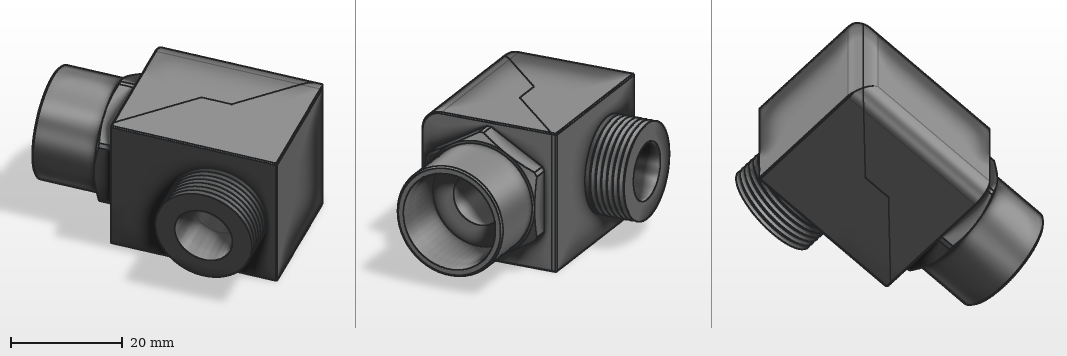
import cadquery as cq
import math


block_width = 26.95
block_left = -20.75
block_right = 11.15
rear_radius = 3.8
edge_chamfer = 0.25

total_length = 48.0
hex_width = 22.15
hex_corner_radius = 12.55
hex_length = 4.0
hex_bevel_angle = 30.0
socket_radius = 10.55
socket_bore_radius = 9.2
socket_bore_depth = 12.0
socket_chamfer = 0.35

outlet_length = 7.85
thread_crest_radius = 9.2
thread_root_radius = 8.45
thread_pitch_count = 7

passage_radius = 5.1
outlet_mouth_radius = 5.5

step_start = -8.25
step_end = -2.5

half_width = block_width / 2
block_length = block_right - block_left
socket_end = block_right - total_length
hex_start = block_left - hex_length
outlet_end = half_width + outlet_length
thread_pitch = outlet_length / thread_pitch_count
joint_reach = total_length


def make_plain_box():
    centre_x = (block_left + block_right) / 2
    return (
        cq.Workplane("XY", origin=(centre_x, 0, 0))
        .box(block_length, block_width, block_width)
    )


def make_block():
    chamfered = (
        make_plain_box()
        .edges("|X and >Y").fillet(rear_radius)
        .faces("<X or >X or <Y").chamfer(edge_chamfer)
    )
    rounded_corner = make_plain_box().edges("|Z and >X and >Y").fillet(rear_radius)
    return chamfered.intersect(rounded_corner)


def make_hex_collar():
    hexagon = (
        cq.Workplane("YZ", origin=(hex_start, 0, 0))
        .polygon(6, hex_width, circumscribed=True)
        .extrude(hex_length)
    )
    bevel_radius = hex_width / 2
    bevel_length = (hex_corner_radius - bevel_radius) * math.tan(math.radians(hex_bevel_angle))
    turned_blank = (
        cq.Workplane("XY")
        .moveTo(hex_start, 0)
        .lineTo(hex_start, bevel_radius)
        .lineTo(hex_start + bevel_length, hex_corner_radius)
        .lineTo(block_left, hex_corner_radius)
        .lineTo(block_left, 0)
        .close()
        .revolve(360, (0, 0, 0), (1, 0, 0))
    )
    return hexagon.intersect(turned_blank)


def make_socket():
    return (
        cq.Workplane("YZ", origin=(socket_end, 0, 0))
        .circle(socket_radius)
        .extrude(hex_start - socket_end)
        .faces("<X").chamfer(socket_chamfer)
    )


def make_outlet_nose():
    profile = (
        cq.Workplane("XY")
        .moveTo(0, -half_width)
        .lineTo(thread_crest_radius, -half_width)
    )
    for ring in range(thread_pitch_count):
        crest_y = -half_width - ring * thread_pitch
        profile = (
            profile
            .lineTo(thread_root_radius, crest_y - thread_pitch / 2)
            .lineTo(thread_crest_radius, crest_y - thread_pitch)
        )
    return profile.lineTo(0, -outlet_end).close().revolve(360, (0, 0, 0), (0, 1, 0))


def make_passage():
    socket_bore = (
        cq.Workplane("YZ", origin=(socket_end, 0, 0))
        .circle(socket_bore_radius)
        .extrude(socket_bore_depth)
    )
    passage_path = (
        cq.Workplane("XY")
        .moveTo(socket_end, 0)
        .lineTo(0, 0)
        .lineTo(0, -half_width)
    )
    elbow_bore = (
        cq.Workplane("YZ", origin=(socket_end, 0, 0))
        .circle(passage_radius)
        .sweep(passage_path, transition="right")
    )
    tapered_mouth = (
        cq.Workplane("XY")
        .moveTo(0, -half_width)
        .lineTo(passage_radius, -half_width)
        .lineTo(outlet_mouth_radius, -outlet_end)
        .lineTo(0, -outlet_end)
        .close()
        .revolve(360, (0, 0, 0), (0, 1, 0))
    )
    return socket_bore.union(elbow_bore).union(tapered_mouth)


def make_inlet_side():
    """Region on the inlet side of the joint: 45 degree slopes either side of a flat step."""
    return (
        cq.Workplane("XY")
        .moveTo(step_start - joint_reach, -joint_reach)
        .lineTo(step_start, 0)
        .lineTo(step_end, 0)
        .lineTo(step_end + joint_reach, joint_reach)
        .lineTo(step_start - joint_reach, joint_reach)
        .close()
        .extrude(block_width, both=True)
    )


def make_inlet_half(block, passage, inlet_side):
    half_block = block.intersect(inlet_side)
    return half_block.union(make_hex_collar()).union(make_socket()).cut(passage)


def make_outlet_half(block, passage, inlet_side):
    half_block = block.cut(inlet_side)
    return half_block.union(make_outlet_nose()).cut(passage)


block = make_block()
passage = make_passage()
inlet_side = make_inlet_side()

inlet_half = make_inlet_half(block, passage, inlet_side)
outlet_half = make_outlet_half(block, passage, inlet_side)

result = cq.Compound.makeCompound([inlet_half.solids().val(), outlet_half.solids().val()])